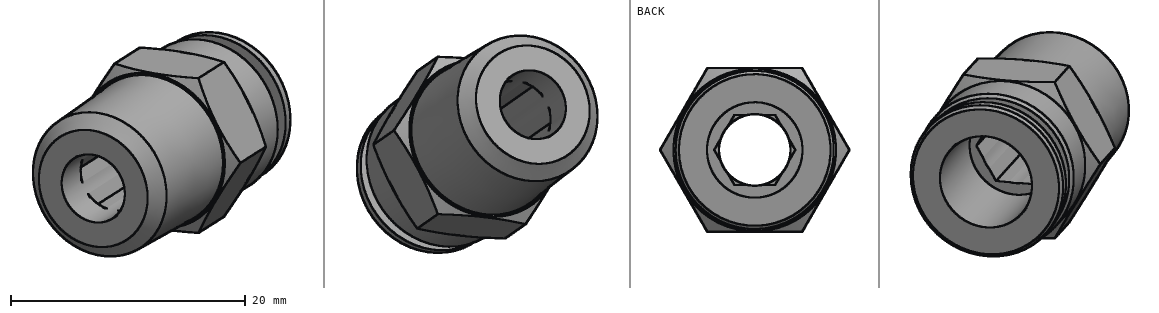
import cadquery as cq
import math

length = 23.7
across_flats = 14.0
across_corners = across_flats / math.cos(math.pi / 6)

thread_chamfer = 1.18
hex_start = 10.97
hex_end = 17.0
body_end = 21.0
neck_start = 21.2
neck_end = 22.33
flange_start = 22.52

tip_diameter = 10.48
thread_tip_diameter = 12.9
thread_root_diameter = 13.5
body_diameter = 13.9
neck_diameter = 9.4
neck_flare_diameter = 9.62
flange_diameter = 13.5

body_chamfer = 0.3
flange_chamfer = 0.28
hex_chamfer_angle = math.radians(30)

bore_diameter = 6.1
tube_diameter = 8.15
tube_depth = 9.48
key_across_flats = 6.0
key_start = 3.5


def revolve_profile(points):
    """Revolve (radius, axial position) points around the Y axis."""
    return cq.Workplane("XY").polyline(points).close().revolve(360, (0, 0), (0, 1))


def prism_along_y(flats, start, end):
    """Hexagonal prism with two corners on the X axis."""
    corners = flats / math.cos(math.pi / 6)
    plane = cq.Workplane("XZ", origin=(0, start, 0))
    return plane.polygon(6, corners).extrude(start - end)


def cylinder_along_y(diameter, start, end):
    plane = cq.Workplane("XZ", origin=(0, start, 0))
    return plane.circle(diameter / 2).extrude(start - end)


def turned_outside():
    body_radius = body_diameter / 2
    flange_radius = flange_diameter / 2
    return revolve_profile([
        (0, 0),
        (tip_diameter / 2, 0),
        (thread_tip_diameter / 2, thread_chamfer),
        (thread_root_diameter / 2, hex_start),
        (body_radius, hex_start),
        (body_radius, body_end - body_chamfer),
        (body_radius - body_chamfer, body_end),
        (neck_diameter / 2, neck_start),
        (neck_diameter / 2, neck_end),
        (neck_flare_diameter / 2, flange_start),
        (flange_radius, flange_start),
        (flange_radius, length - flange_chamfer),
        (flange_radius - flange_chamfer, length),
        (0, length),
    ])


def chamfered_hex():
    """Wrench hexagon whose corners are turned down at both ends."""
    end_radius = body_diameter / 2
    corner_radius = across_corners / 2
    drop = (corner_radius - end_radius) * math.tan(hex_chamfer_angle)
    envelope = revolve_profile([
        (0, hex_start),
        (end_radius, hex_start),
        (corner_radius, hex_start + drop),
        (corner_radius, hex_end - drop),
        (end_radius, hex_end),
        (0, hex_end),
    ])
    return prism_along_y(across_flats, hex_start, hex_end).intersect(envelope)


def passage():
    """Through bore, hex key corners inside it, and the wider tube socket."""
    tube_seat = length - tube_depth
    bore = cylinder_along_y(bore_diameter, 0, length)
    key = prism_along_y(key_across_flats, key_start, tube_seat)
    socket = cylinder_along_y(tube_diameter, tube_seat, length)
    return bore.union(key).union(socket)


fitting = turned_outside().union(chamfered_hex()).cut(passage())
result = fitting.translate((0, -length / 2, 0))